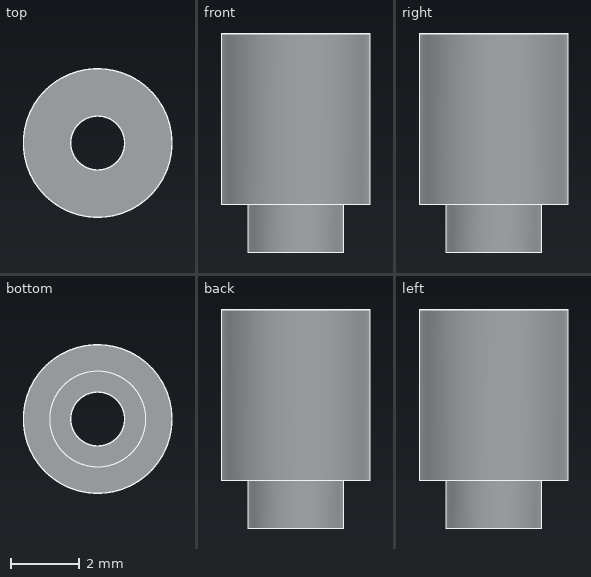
import cadquery as cq

total_height = 6.4
body_height = 5.0
body_diameter = 4.35
spigot_diameter = 2.8
bore_diameter = 1.57

spigot_height = total_height - body_height

spigot = cq.Workplane("XY").circle(spigot_diameter / 2).extrude(spigot_height)

body = (
    cq.Workplane("XY")
    .workplane(offset=spigot_height)
    .circle(body_diameter / 2)
    .extrude(body_height)
)

bore = cq.Workplane("XY").circle(bore_diameter / 2).extrude(total_height)

result = spigot.union(body).cut(bore)